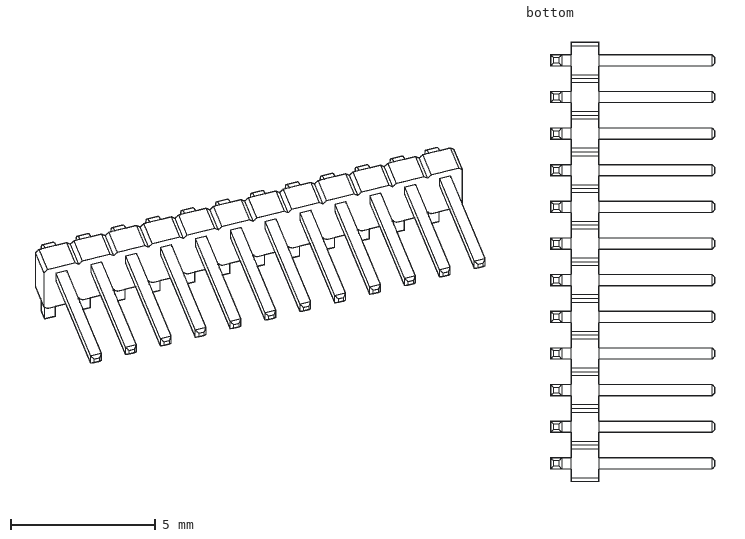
import cadquery as cq

row_length = 15.24
overall_width = 5.7
overall_height = 4.35

pin_count = 12
pitch = row_length / pin_count

pin_size = 0.4
bend_inner_radius = 0.2
bend_outer_radius = bend_inner_radius + pin_size
tip_chamfer = 0.1

body_width = 0.96
body_height = 2.1
body_offset = 0.72
body_chamfer = 0.133
pin_axis_depth = 0.5

pin_top = pin_size / 2 - pin_axis_depth
pin_bottom = pin_top - pin_size
tail_end = -overall_height
bend_x = bend_outer_radius
bend_z = pin_top - bend_outer_radius


def make_body_block():
    """One pin's share of the body, with its four long edges chamfered."""
    block = cq.Workplane("XY").box(body_width, pitch, body_height, centered=(False, True, False))
    block = block.edges("|X").chamfer(body_chamfer)
    return block.translate((body_offset, 0, -body_height))


def make_pin():
    """Right-angle pin: vertical tail, round bend and straight contact, both ends chamfered."""
    pin = (
        cq.Workplane("XZ")
        .moveTo(0, tail_end)
        .lineTo(0, bend_z)
        .radiusArc((bend_x, pin_top), bend_outer_radius)
        .lineTo(overall_width, pin_top)
        .lineTo(overall_width, pin_bottom)
        .lineTo(bend_x, pin_bottom)
        .radiusArc((pin_size, bend_z), -bend_inner_radius)
        .lineTo(pin_size, tail_end)
        .close()
        .extrude(pin_size / 2, both=True)
    )
    pin = pin.faces("<Z").chamfer(tip_chamfer)
    return pin.faces(">X").chamfer(tip_chamfer)


unit = make_body_block().union(make_pin())
result = cq.Workplane("XY")
for index in range(pin_count):
    pin_y = (index - (pin_count - 1) / 2) * pitch
    result = result.union(unit.translate((0, pin_y, 0)))